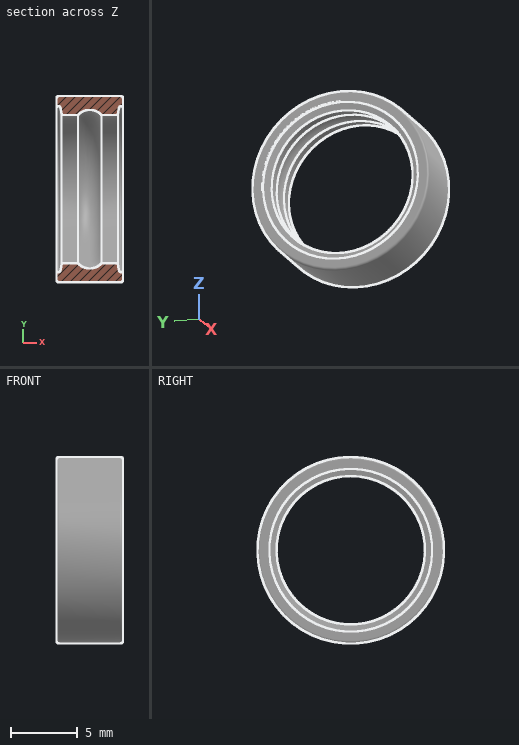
import cadquery as cq

width = 5.0
outer_radius = 7.0
bore_radius = 5.55
edge_fillet = 0.2

seat_radius = 6.1
seat_groove_width = 0.3
seat_groove_depth = 0.12
shoulder_slope_length = 0.1

race_width = 1.77
race_depth = 0.39

half_width = width / 2
half_race = race_width / 2
groove_middle_x = half_width - seat_groove_width / 2
shoulder_x = half_width - seat_groove_width
bore_end_x = shoulder_x - shoulder_slope_length
groove_bottom_radius = seat_radius + seat_groove_depth


def ring_section():
    """Closed section in the XZ plane, with Z as the radius."""
    return (
        cq.Workplane("XZ")
        .moveTo(-half_width, outer_radius)
        .lineTo(half_width, outer_radius)
        .lineTo(half_width, seat_radius)
        .threePointArc((groove_middle_x, groove_bottom_radius), (shoulder_x, seat_radius))
        .lineTo(bore_end_x, bore_radius)
        .lineTo(half_race, bore_radius)
        .threePointArc((0, bore_radius + race_depth), (-half_race, bore_radius))
        .lineTo(-bore_end_x, bore_radius)
        .lineTo(-shoulder_x, seat_radius)
        .threePointArc((-groove_middle_x, groove_bottom_radius), (-half_width, seat_radius))
        .close()
    )


ring = ring_section().revolve(360, (0, 0, 0), (1, 0, 0))
outer_edges = cq.selectors.RadiusNthSelector(-1)
result = ring.edges(outer_edges).fillet(edge_fillet)